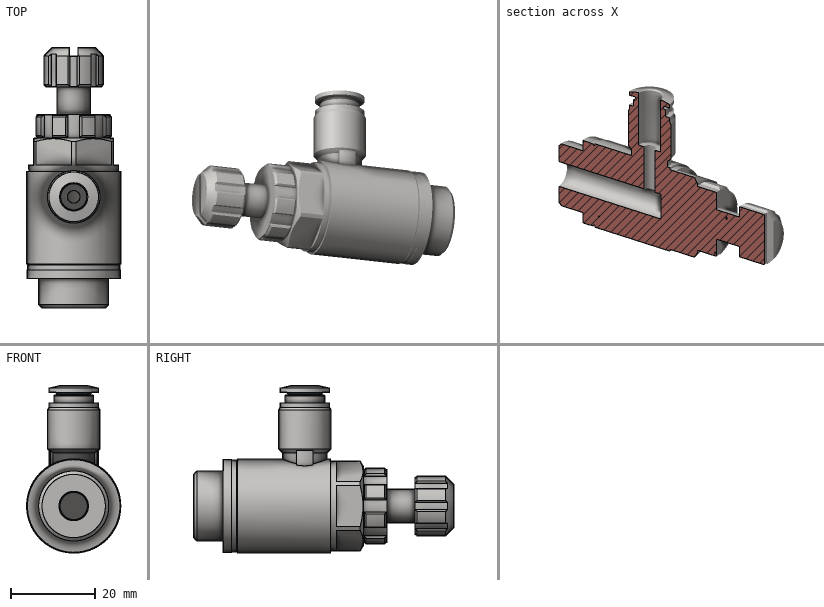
import cadquery as cq
import math


PORT_COLLAR_Y = 7.0
COLLAR_STEP_Y = 9.05
COLLAR_END_Y = 10.2
BODY_START_Y = 10.5
BODY_END_Y = 32.5
HEX_START_Y = 34.0
HEX_END_Y = 40.4
NUT_END_Y = 46.0
KNOB_START_Y = 52.6
KNOB_END_Y = 61.9

PORT_DIA = 16.66
COLLAR_DIA = 22.15
COLLAR_STEP_DIA = 22.0
SEAL_NECK_DIA = 21.4
BODY_DIA = 22.4
SHOULDER_DIA = 21.4
STEM_DIA = 8.0
PORT_CHAMFER = 0.8

HEX_SIDES = 6
HEX_ACROSS_FLATS = 19.0
HEX_CHAMFER_DEPTH = 1.4
HEX_CHAMFER_ANGLE = 30.0

GRIP_GROOVES = 8
RIM_SLOPE_ANGLE = 36.0
NUT_DIA = 18.4
NUT_BASE_DIA = 17.6
NUT_FLOOR_DIA = 17.2
NUT_FLOOR_WIDTH = 2.75
NUT_FOOT_DISTANCE = 8.73
NUT_FOOT_WIDTH = 3.1
NUT_END_STEP = 0.2
KNOB_DIA = 14.4
KNOB_FLOOR_DIA = 13.5
KNOB_FLOOR_WIDTH = 1.65
KNOB_FOOT_DISTANCE = 6.83
KNOB_FOOT_WIDTH = 2.0
KNOB_OUTER_CHAMFER = 2.0
KNOB_INNER_CHAMFER = 0.55
SLOT_WIDTH = 2.0
SLOT_DEPTH = 2.0

BRANCH_Y = 26.45
BRANCH_TOP_Z = 28.6
BRANCH_DIA = 12.5
BRANCH_RING_DIA = 11.8
BRANCH_NECK_DIA = 10.6
CAP_DIA = 11.8
CAP_NECK_DIA = 8.1
CAP_UNDERSIDE_DIA = 8.6
SLEEVE_DIA = 9.5
SLEEVE_CHAMFER = 0.2
RIB_DIA = 11.7
RIB_WIDTH = 4.0

CAP_CONE_DEPTH = 0.6
CAP_DEPTH = 1.6
CAP_TAPER_DEPTH = 1.95
CAP_NECK_DEPTH = 2.25
SLEEVE_DEPTH = 4.1
RING_DEPTH = 5.15
SHELL_START_DEPTH = 5.8
SHELL_END_DEPTH = 15.0
NECK_START_DEPTH = 16.0

PORT_BORE_DIA = 6.5
PORT_BORE_DEPTH = BRANCH_Y + PORT_BORE_DIA / 2
TUBE_BORE_DIA = 6.2
TUBE_BORE_DEPTH = 14.0
PASSAGE_DIA = 3.0
BORE_CHAMFER = 0.25


def revolve_y(points):
    """Revolve (radius, y) points about the main axis."""
    return cq.Workplane("XY").polyline(points).close().revolve(360, (0, 0, 0), (0, 1, 0))


def revolve_z(points):
    """Revolve (radius, z) points about Z, then move the result onto the branch axis."""
    profile = cq.Workplane("XZ").polyline(points).close()
    return profile.revolve(360, (0, 0, 0), (0, 1, 0)).translate((0, BRANCH_Y, 0))


def cylinder_y(diameter, start, end):
    """Cylinder on the main axis between two stations."""
    return cq.Workplane("XZ", origin=(0, start, 0)).circle(diameter / 2).extrude(start - end)


def cut_grip_grooves(grip, outer_dia, floor_dia, floor_width, foot_distance, foot_width, start, end):
    """Cut equally spaced grooves along a round grip.

    Each side rises steeply from the round floor to the foot of the rim, then flares out to the surface.
    """
    half_floor = floor_width / 2
    half_foot = foot_width / 2
    floor_radius = floor_dia / 2
    floor_edge = math.sqrt(floor_radius ** 2 - half_floor ** 2)
    rim_distance = outer_dia / 2
    half_rim = half_foot + (rim_distance - foot_distance) / math.tan(math.radians(RIM_SLOPE_ANGLE))
    groove = (
        cq.Workplane("XZ", origin=(0, start, 0))
        .moveTo(-half_floor, floor_edge)
        .threePointArc((0, floor_radius), (half_floor, floor_edge))
        .lineTo(half_foot, foot_distance)
        .lineTo(half_rim, rim_distance)
        .lineTo(-half_rim, rim_distance)
        .lineTo(-half_foot, foot_distance)
        .close()
        .extrude(start - end)
    )
    for index in range(GRIP_GROOVES):
        angle = index * 360.0 / GRIP_GROOVES
        grip = grip.cut(groove.rotate((0, 0, 0), (0, 1, 0), angle))
    return grip


def make_body():
    port_radius = PORT_DIA / 2
    return revolve_y([
        (0, 0),
        (port_radius - PORT_CHAMFER, 0),
        (port_radius, PORT_CHAMFER),
        (port_radius, PORT_COLLAR_Y),
        (COLLAR_DIA / 2, PORT_COLLAR_Y),
        (COLLAR_DIA / 2, COLLAR_STEP_Y),
        (COLLAR_STEP_DIA / 2, COLLAR_STEP_Y),
        (COLLAR_STEP_DIA / 2, COLLAR_END_Y),
        (SEAL_NECK_DIA / 2, COLLAR_END_Y),
        (SEAL_NECK_DIA / 2, BODY_START_Y),
        (BODY_DIA / 2, BODY_START_Y),
        (BODY_DIA / 2, BODY_END_Y),
        (SHOULDER_DIA / 2, BODY_END_Y),
        (SHOULDER_DIA / 2, HEX_START_Y),
        (0, HEX_START_Y),
    ])


def make_hexagon():
    half_side_angle = 180.0 / HEX_SIDES
    corner_dia = HEX_ACROSS_FLATS / math.cos(math.radians(half_side_angle))
    prism = cq.Workplane("XZ", origin=(0, HEX_START_Y, 0)).polygon(HEX_SIDES, corner_dia)
    prism = prism.extrude(HEX_START_Y - HEX_END_Y).rotate((0, 0, 0), (0, 1, 0), half_side_angle)
    radius = SHOULDER_DIA / 2
    chamfer_length = HEX_CHAMFER_DEPTH * math.tan(math.radians(HEX_CHAMFER_ANGLE))
    envelope = revolve_y([
        (0, HEX_START_Y),
        (radius, HEX_START_Y),
        (radius, HEX_END_Y - chamfer_length),
        (radius - HEX_CHAMFER_DEPTH, HEX_END_Y),
        (0, HEX_END_Y),
    ])
    return prism.intersect(envelope)


def make_lock_nut():
    radius = NUT_DIA / 2
    base_radius = NUT_BASE_DIA / 2
    chamfer = radius - base_radius
    grip = revolve_y([
        (0, HEX_END_Y),
        (base_radius, HEX_END_Y),
        (base_radius, HEX_END_Y + NUT_END_STEP),
        (radius, HEX_END_Y + NUT_END_STEP + chamfer),
        (radius, NUT_END_Y - NUT_END_STEP - chamfer),
        (base_radius, NUT_END_Y - NUT_END_STEP),
        (base_radius, NUT_END_Y),
        (0, NUT_END_Y),
    ])
    return cut_grip_grooves(
        grip,
        NUT_DIA,
        NUT_FLOOR_DIA,
        NUT_FLOOR_WIDTH,
        NUT_FOOT_DISTANCE,
        NUT_FOOT_WIDTH,
        HEX_END_Y,
        NUT_END_Y,
    )


def make_knob():
    radius = KNOB_DIA / 2
    knob = revolve_y([
        (0, KNOB_START_Y),
        (radius - KNOB_INNER_CHAMFER, KNOB_START_Y),
        (radius, KNOB_START_Y + KNOB_INNER_CHAMFER),
        (radius, KNOB_END_Y - KNOB_OUTER_CHAMFER),
        (radius - KNOB_OUTER_CHAMFER, KNOB_END_Y),
        (0, KNOB_END_Y),
    ])
    knob = cut_grip_grooves(
        knob,
        KNOB_DIA,
        KNOB_FLOOR_DIA,
        KNOB_FLOOR_WIDTH,
        KNOB_FOOT_DISTANCE,
        KNOB_FOOT_WIDTH,
        KNOB_START_Y,
        KNOB_END_Y,
    )
    slot = cq.Workplane("XY").box(SLOT_WIDTH, 2 * SLOT_DEPTH, 2 * KNOB_DIA)
    return knob.cut(slot.translate((0, KNOB_END_Y, 0)))


def make_branch():
    sleeve_radius = SLEEVE_DIA / 2
    outline = [
        (0, 0),
        (TUBE_BORE_DIA / 2 + BORE_CHAMFER, 0),
        (CAP_DIA / 2, CAP_CONE_DEPTH),
        (CAP_DIA / 2, CAP_DEPTH),
        (CAP_UNDERSIDE_DIA / 2, CAP_DEPTH),
        (CAP_NECK_DIA / 2, CAP_TAPER_DEPTH),
        (CAP_NECK_DIA / 2, CAP_NECK_DEPTH),
        (sleeve_radius - SLEEVE_CHAMFER, CAP_NECK_DEPTH),
        (sleeve_radius, CAP_NECK_DEPTH + SLEEVE_CHAMFER),
        (sleeve_radius, SLEEVE_DEPTH),
        (BRANCH_RING_DIA / 2, SLEEVE_DEPTH),
        (BRANCH_RING_DIA / 2, RING_DEPTH),
        (BRANCH_DIA / 2, SHELL_START_DEPTH),
        (BRANCH_DIA / 2, SHELL_END_DEPTH),
        (BRANCH_NECK_DIA / 2, NECK_START_DEPTH),
        (BRANCH_NECK_DIA / 2, BRANCH_TOP_Z),
        (0, BRANCH_TOP_Z),
    ]
    branch = revolve_z([(radius, BRANCH_TOP_Z - depth) for radius, depth in outline])
    rib_height = BRANCH_TOP_Z - SHELL_END_DEPTH
    rib_round = cq.Workplane("XY").circle(RIB_DIA / 2).extrude(rib_height)
    rib_band = cq.Workplane("XY").rect(RIB_DIA, RIB_WIDTH).extrude(rib_height)
    ribs = rib_round.intersect(rib_band).translate((0, BRANCH_Y, 0))
    return branch.union(ribs)


def make_port_bore():
    radius = PORT_BORE_DIA / 2
    return revolve_y([
        (0, 0),
        (radius + BORE_CHAMFER, 0),
        (radius, BORE_CHAMFER),
        (radius, PORT_BORE_DEPTH),
        (0, PORT_BORE_DEPTH),
    ])


def make_tube_bore():
    """Chamfered tube socket with a smaller passage down to the port bore."""
    radius = TUBE_BORE_DIA / 2
    socket_floor_z = BRANCH_TOP_Z - TUBE_BORE_DEPTH
    return revolve_z([
        (0, BRANCH_TOP_Z),
        (radius + BORE_CHAMFER, BRANCH_TOP_Z),
        (radius, BRANCH_TOP_Z - BORE_CHAMFER),
        (radius, socket_floor_z),
        (PASSAGE_DIA / 2, socket_floor_z),
        (PASSAGE_DIA / 2, 0),
        (0, 0),
    ])


result = (
    make_body()
    .union(make_hexagon())
    .union(make_lock_nut())
    .union(cylinder_y(STEM_DIA, NUT_END_Y, KNOB_START_Y))
    .union(make_knob())
    .union(make_branch())
    .cut(make_port_bore())
    .cut(make_tube_bore())
)